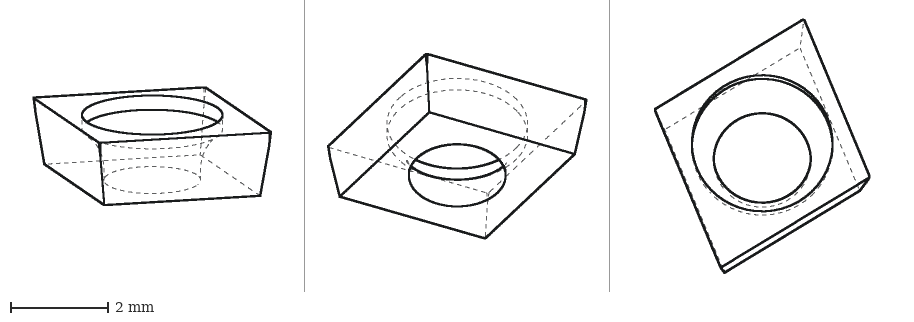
import cadquery as cq
import math

length_x = 4.24
width_y = 3.57
thickness = 1.39
acute_angle = math.radians(80)
clearance_angle = math.radians(7)

bore_radius = 0.995
mouth_radius = 1.445
mouth_depth = 0.305
seat_arc_radius = 1.0

side = width_y / math.sin(acute_angle)
sharp_length = side + width_y / math.tan(acute_angle)
nose_loss_per_radius = 2 * (1 / math.tan(acute_angle / 2) - 1)
nose_radius = (sharp_length - length_x) / nose_loss_per_radius


def rhombus_points(width):
    """Corners of a sharp rhombus of the given Y width, centred on the origin."""
    half_side = width / math.sin(acute_angle) / 2
    half_shear = width / math.tan(acute_angle) / 2
    half_width = width / 2
    return [
        (-half_side - half_shear, -half_width),
        (half_side - half_shear, -half_width),
        (half_side + half_shear, half_width),
        (-half_side + half_shear, half_width),
    ]


def make_body():
    """Sharp frustum below, then a short layer whose corners open into conical noses."""
    nose_height = nose_radius / math.tan(clearance_angle)
    nose_start_z = thickness - nose_height
    bottom_width = width_y - 2 * thickness * math.tan(clearance_angle)
    nose_start_width = width_y - 2 * nose_radius
    lower = (
        cq.Workplane("XY")
        .polyline(rhombus_points(bottom_width))
        .close()
        .workplane(offset=nose_start_z)
        .polyline(rhombus_points(nose_start_width))
        .close()
        .loft(ruled=True)
    )
    upper = (
        cq.Workplane("XY", origin=(0, 0, nose_start_z))
        .polyline(rhombus_points(nose_start_width))
        .close()
        .extrude(nose_height, taper=-math.degrees(clearance_angle))
    )
    return lower.union(upper, clean=True)


def make_hole():
    """Cylindrical mouth, convex seat tangent to the bore, then the bore."""
    mouth_z = thickness - mouth_depth
    arc_centre_r = bore_radius + seat_arc_radius
    seat_angle = math.acos((arc_centre_r - mouth_radius) / seat_arc_radius)
    seat_end_z = mouth_z - seat_arc_radius * math.sin(seat_angle)
    mid_r = arc_centre_r - seat_arc_radius * math.cos(seat_angle / 2)
    mid_z = seat_end_z + seat_arc_radius * math.sin(seat_angle / 2)
    return (
        cq.Workplane("XZ")
        .lineTo(bore_radius, 0)
        .lineTo(bore_radius, seat_end_z)
        .threePointArc((mid_r, mid_z), (mouth_radius, mouth_z))
        .lineTo(mouth_radius, thickness)
        .lineTo(0, thickness)
        .close()
        .revolve(360, (0, 0, 0), (0, 1, 0))
    )


result = make_body().cut(make_hole())